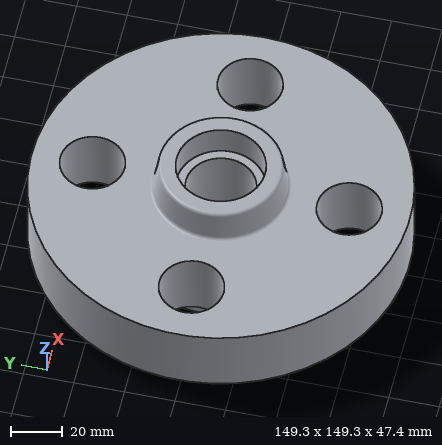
import cadquery as cq
import math


flange_diameter = 149.3
flange_thickness = 28.5
face_diameter = 71.4
face_height = 6.4

hub_base_diameter = 52.4
hub_height = 12.5
hub_draft_angle = 9.5
hub_edge_radius = 1.5
hub_root_radius = 1.5

bore_diameter = 27.6
socket_diameter = 35.0
socket_depth = 13.0

bolt_count = 4
bolt_circle_diameter = 101.5
bolt_hole_diameter = 25.4

flange_top = face_height + flange_thickness
total_height = flange_top + hub_height
hub_top_diameter = hub_base_diameter - 2 * hub_height * math.tan(math.radians(hub_draft_angle))


def make_body():
    """Revolve the solid half profile of raised face, flange and hub, then round the hub."""
    body = (
        cq.Workplane("XZ")
        .moveTo(0, 0)
        .lineTo(face_diameter / 2, 0)
        .lineTo(face_diameter / 2, face_height)
        .lineTo(flange_diameter / 2, face_height)
        .lineTo(flange_diameter / 2, flange_top)
        .lineTo(hub_base_diameter / 2, flange_top)
        .lineTo(hub_top_diameter / 2, total_height)
        .lineTo(0, total_height)
        .close()
        .revolve(360, (0, 0, 0), (0, 1, 0))
    )
    body = body.faces(">Z").edges().fillet(hub_edge_radius)
    smallest_circle = cq.selectors.RadiusNthSelector(0)
    return body.faces(">Z[-2]").edges(smallest_circle).fillet(hub_root_radius)


def cut_bore_and_socket(body):
    """Open the through bore and the larger blind socket from the hub end."""
    bore = cq.Workplane("XY").circle(bore_diameter / 2).extrude(total_height)
    socket = (
        cq.Workplane("XY", origin=(0, 0, total_height - socket_depth))
        .circle(socket_diameter / 2)
        .extrude(socket_depth)
    )
    return body.cut(bore).cut(socket)


def cut_bolt_holes(body):
    """Drill the evenly spaced bolt holes through the flange disc."""
    holes = (
        cq.Workplane("XY")
        .polarArray(bolt_circle_diameter / 2, 0, 360, bolt_count)
        .circle(bolt_hole_diameter / 2)
        .extrude(flange_top)
    )
    return body.cut(holes)


result = cut_bolt_holes(cut_bore_and_socket(make_body()))